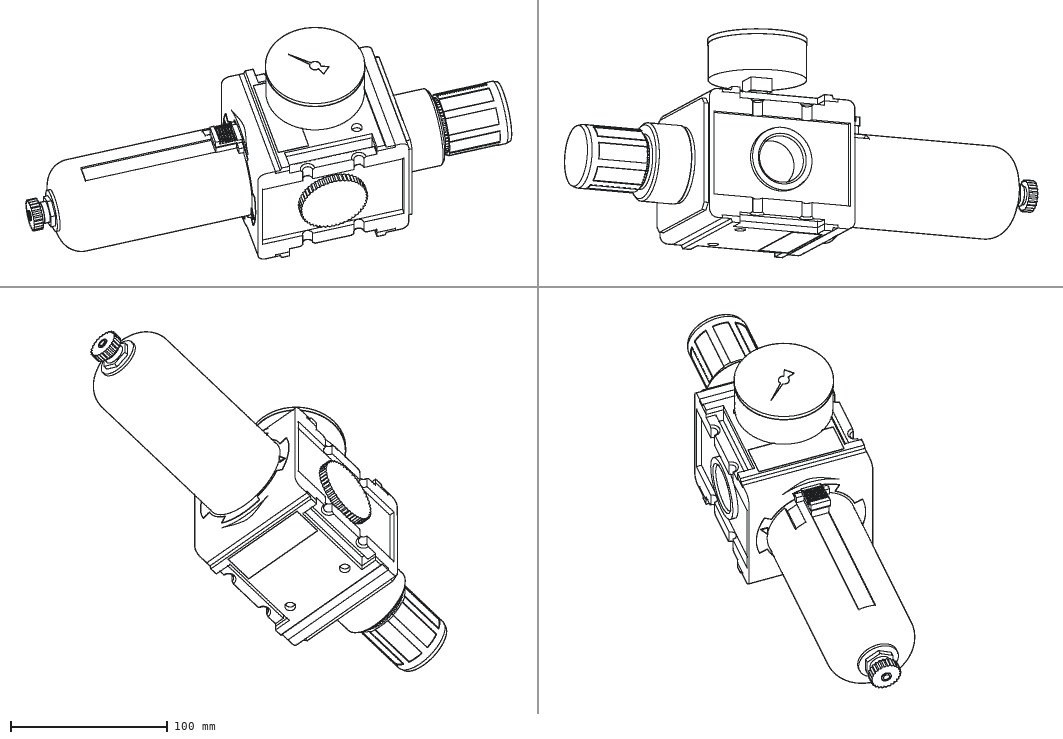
import cadquery as cq
import math


BODY_HALF_X = 42.3
BODY_HALF_Y = 50.0
BODY_HALF_Z = 42.3
BODY_FILLET = 5.5
BOWL_SEAT_RADIUS = 41.5

COVER_BACK_Y = 41.3
COVER_FRONT_Y = -38.5
COVER_FLOOR_Z = 40.5
COVER_TOP_Z = 44.5
RAISED_HALF_Y = 35.3
RAISED_DRAFT = 1.0
LABEL_HALF_X = 29.0
LABEL_BACK_Y = -12.5
LABEL_FRONT_Y = -32.8
LABEL_DEPTH = 0.3
COVER_HOLE_DIAMETER = 6.5
COVER_HOLE_X = 23.0
COVER_HOLE_Y = 21.0

POCKET_HALF_Y = 29.0
LEDGE_Z = 37.5
LEDGE_INNER_X = 35.5
TRENCH_INNER_X = 30.5
TRENCH_FLOOR_Z = 30.5

SIDE_HALF_Y = 47.0
SIDE_HALF_Z = 27.0
SIDE_DEPTH = 3.5
SLOT_DIAMETER = 6.5
SLOT_MOUTH_DIAMETER = 9.5
SLOT_MOUTH_DEPTH = (SLOT_MOUTH_DIAMETER - SLOT_DIAMETER) / 2
SLOT_Y = 17.0
PORT_BOSS_DIAMETER = 41.0
PORT_CHAMFER_DIAMETER = 33.0
PORT_DIAMETER = 30.3
PORT_CHAMFER = (PORT_CHAMFER_DIAMETER - PORT_DIAMETER) / 2
PORT_DEPTH = 17.5
PLUG_RADIUS = 22.5
PLUG_FACE_X = 44.2
PLUG_TEETH = 48

PLATE_HALF_X = 40.0
PLATE_HALF_Z = 36.5
PLATE_CHAMFER = 4.0
PLATE_BACK_Y = 53.0
BONNET_RADIUS = 25.2
BONNET_BASE_RADIUS = 24.5
BONNET_BASE_Y = 55.5
BONNET_BACK_Y = 79.5
BONNET_CHAMFER = 1.5
NECK_DIAMETER = 35.5
SERRATION_DIAMETER = 36.3
SERRATION_FRONT_Y = 81.7
SERRATION_TEETH = 48
KNOB_FRONT_Y = 84.0
KNOB_BACK_Y = 125.2
KNOB_RADIUS = 20.5
KNOB_EDGE_LENGTH = 2.8
KNOB_EDGE_DROP = 1.0
GRIP_COUNT = 8
GRIP_ANGLE = 31
GRIP_DEPTH = 0.5
GRIP_BACK_Y = 117.5

GAUGE_TOP_Z = 86.7
GAUGE_BOTTOM_Z = 60.3
GAUGE_RADIUS = 32.0
GAUGE_RIM_HEIGHT = 3.0
GAUGE_RIM_STEP = 0.3
GAUGE_SQUARE = 14.5
GAUGE_SQUARE_Z = 51.7
GAUGE_STEM_DIAMETER = 13.2
NEEDLE_DEPTH = 0.3
NEEDLE_ANGLE = 225
NEEDLE_LENGTH = 19.5
NEEDLE_HALF_WIDTH = 1.0
NEEDLE_TAIL = 8.2
NEEDLE_TAIL_HALF_WIDTH = 3.5
NEEDLE_HUB_RADIUS = 3.5

BOWL_RADIUS = 30.0
DOME_RADIUS = 14.8
DOME_END_Y = -173.5
LUG_COUNT = 4
LUG_ANGLE = 51
LUG_FIRST_ANGLE = -6
LUG_RADIUS = 37.2
COLLAR_RADIUS = 31.5
FLANGE_THICKNESS = 0.3
STOP_THICKNESS = 1.0
STOP_OUTER_X = -34.5
STOP_INNER_X = -29.5
STOP_TOP_Z = 10.0
STOP_BOTTOM_Z = 3.8
WINDOW_HALF_WIDTH = 5.7
WINDOW_FRONT_Y = -154.3
WINDOW_FLOOR_Z = 28.0
KEYWAY_ANGLE = 29
KEYWAY_HALF_WIDTH = 4.0
KEYWAY_FRONT_Y = -70.0
KEYWAY_FLOOR_RADIUS = 26.0

LATCH_FRONT_Y = -68.0
LATCH_BOTTOM_Z = 28.0
LATCH_STEP_Z = 34.7
LATCH_TOP_Z = 37.5
LATCH_HALF_WIDTH = 6.5
LATCH_STEP = 0.5
LATCH_WALL_TOP_Z = 40.5
LATCH_WALL_THICKNESS = 2.8
LATCH_WING_HALF_WIDTH = 11.5
LATCH_WING_BOTTOM_Z = 30.0
LATCH_WING_LENGTH = 3.8
RIDGE_COUNT = 6
RIDGE_PITCH = 2.0
RIDGE_WIDTH = 1.0
RIDGE_TOP_Z = 39.7
RIDGE_FIRST_Y = -54.0

DRAIN_COLLAR_DIAMETER = 27.0
DRAIN_COLLAR_END_Y = -175.5
DRAIN_HEX_DIAMETER = 20.2
DRAIN_HEX_END_Y = -178.2
DRAIN_STEM_DIAMETER = 14.0
DRAIN_STEM_END_Y = -181.7
DRAIN_NECK_DIAMETER = 12.0
DRAIN_NECK_END_Y = -183.5
DRAIN_KNOB_DIAMETER = 20.5
DRAIN_KNOB_END_Y = -189.5
DRAIN_KNOB_TEETH = 24
NIPPLE_DIAMETER = 6.5
NIPPLE_BORE = 4.0
NIPPLE_BORE_DEPTH = 6.3
NIPPLE_END_Y = -190.2
TOOTH_DEPTH = 1.0


def block(x0, x1, y0, y1, z0, z1):
    """Box between two corner positions, given in any order."""
    size = (abs(x1 - x0), abs(y1 - y0), abs(z1 - z0))
    middle = ((x0 + x1) / 2, (y0 + y1) / 2, (z0 + z1) / 2)
    return cq.Workplane("XY").box(*size).translate(middle)


def plane_at_y(y):
    """Workplane facing +Y, with its local x along +Z and local y along +X."""
    return cq.Workplane(cq.Plane(origin=(0, y, 0), xDir=(0, 0, 1), normal=(0, 1, 0)))


def disc(radius, y0, y1):
    """Cylinder on the Y axis from y0 to y1."""
    return cq.Workplane("XZ", origin=(0, y1, 0)).circle(radius).extrude(y1 - y0)


def toothed_points(radius, depth, teeth):
    """Closed zigzag of pointed teeth between radius and radius - depth."""
    points = []
    for i in range(2 * teeth):
        r = radius - depth * (i % 2)
        angle = math.pi * i / teeth
        points.append((r * math.cos(angle), r * math.sin(angle)))
    return points


def sector_points(radius, middle_angle, span):
    """Start, middle and end point of an arc about the origin, with angles in degrees."""
    angles = [math.radians(middle_angle + span * part) for part in (-0.5, 0, 0.5)]
    return [(radius * math.cos(a), radius * math.sin(a)) for a in angles]


def sector(radius, middle_angle, span, y0, y1):
    """Pie-shaped prism along Y; the angle is counted from +X towards +Z."""
    start, middle, end = sector_points(radius, middle_angle, span)
    plane = cq.Workplane("XZ", origin=(0, y0, 0))
    return plane.lineTo(*start).threePointArc(middle, end).close().extrude(y0 - y1)


def mirrored_pair(shape, plane):
    return shape.union(shape.mirror(plane))


def edge_pockets():
    """Stepped pockets along all four long side edges."""
    ledge = block(LEDGE_INNER_X, BODY_HALF_X, -POCKET_HALF_Y, POCKET_HALF_Y, LEDGE_Z, COVER_TOP_Z)
    trench = block(
        TRENCH_INNER_X, LEDGE_INNER_X, -POCKET_HALF_Y, POCKET_HALF_Y, TRENCH_FLOOR_Z, COVER_TOP_Z
    )
    return mirrored_pair(mirrored_pair(ledge.union(trench), "YZ"), "XY")


def cover_profile():
    """Cover outline in the YZ plane."""
    return [
        (COVER_BACK_Y, COVER_FLOOR_Z),
        (COVER_BACK_Y, BODY_HALF_Z),
        (RAISED_HALF_Y, BODY_HALF_Z),
        (RAISED_HALF_Y - RAISED_DRAFT, COVER_TOP_Z),
        (-RAISED_HALF_Y + RAISED_DRAFT, COVER_TOP_Z),
        (-RAISED_HALF_Y, BODY_HALF_Z),
        (COVER_FRONT_Y, BODY_HALF_Z),
        (COVER_FRONT_Y, COVER_FLOOR_Z),
    ]


def cover_blank():
    profile = cq.Workplane("YZ").polyline(cover_profile()).close()
    return profile.extrude(BODY_HALF_X, both=True)


def cover():
    """Top cover with its label recess and two holes."""
    label = block(
        -LABEL_HALF_X, LABEL_HALF_X, LABEL_FRONT_Y, LABEL_BACK_Y, COVER_TOP_Z - LABEL_DEPTH, COVER_TOP_Z
    )
    holes = (
        cq.Workplane("XY", origin=(0, 0, COVER_FLOOR_Z))
        .pushPoints([(-COVER_HOLE_X, COVER_HOLE_Y), (COVER_HOLE_X, COVER_HOLE_Y)])
        .circle(COVER_HOLE_DIAMETER / 2)
        .extrude(COVER_TOP_Z - COVER_FLOOR_Z)
    )
    return cover_blank().cut(edge_pockets()).cut(label).cut(holes)


def housing_block():
    body = block(-BODY_HALF_X, BODY_HALF_X, -BODY_HALF_Y, BODY_HALF_Y, -BODY_HALF_Z, BODY_HALF_Z)
    body = body.edges("|X").fillet(BODY_FILLET)
    seat = disc(BOWL_SEAT_RADIUS, -BODY_HALF_Y, BODY_FILLET - BODY_HALF_Y)
    return body.union(seat)


def side_recesses():
    recess = block(
        BODY_HALF_X - SIDE_DEPTH, BODY_HALF_X, -SIDE_HALF_Y, SIDE_HALF_Y, -SIDE_HALF_Z, SIDE_HALF_Z
    )
    return mirrored_pair(recess, "YZ")


def clamp_slots():
    """Half-round slots in the side faces, each with a tapered mouth on the pocket ledge."""
    profile = [
        (0, SIDE_HALF_Z),
        (SLOT_DIAMETER / 2, SIDE_HALF_Z),
        (SLOT_DIAMETER / 2, LEDGE_Z - SLOT_MOUTH_DEPTH),
        (SLOT_MOUTH_DIAMETER / 2, LEDGE_Z),
        (0, LEDGE_Z),
    ]
    slot = cq.Workplane("XZ").polyline(profile).close().revolve(360, (0, 0, 0), (0, 1, 0))
    slots = cq.Workplane("XY")
    for x in (-BODY_HALF_X, BODY_HALF_X):
        for y in (-SLOT_Y, SLOT_Y):
            slots = slots.add(slot.translate((x, y, 0)))
    return mirrored_pair(slots.combine(), "XY")


def port_boss():
    """Round boss in the -X side recess, flush with the side of the housing."""
    plane = cq.Workplane("YZ", origin=(-BODY_HALF_X, 0, 0))
    return plane.circle(PORT_BOSS_DIAMETER / 2).extrude(SIDE_DEPTH)


def port():
    """Blind port with a chamfered mouth, in the face of the port boss."""
    profile = [
        (-BODY_HALF_X, 0),
        (-BODY_HALF_X, PORT_CHAMFER_DIAMETER / 2),
        (PORT_CHAMFER - BODY_HALF_X, PORT_DIAMETER / 2),
        (PORT_DEPTH - BODY_HALF_X, PORT_DIAMETER / 2),
        (PORT_DEPTH - BODY_HALF_X, 0),
    ]
    return cq.Workplane("XY").polyline(profile).close().revolve(360, (0, 0, 0), (1, 0, 0))


def port_plug():
    """Toothed disc that closes the +X side."""
    start_x = BODY_HALF_X - SIDE_DEPTH
    plane = cq.Workplane("YZ", origin=(start_x, 0, 0))
    outline = plane.polyline(toothed_points(PLUG_RADIUS, TOOTH_DEPTH, PLUG_TEETH)).close()
    return outline.extrude(PLUG_FACE_X - start_x)


def bonnet():
    plate = block(-PLATE_HALF_X, PLATE_HALF_X, BODY_HALF_Y, PLATE_BACK_Y, -PLATE_HALF_Z, PLATE_HALF_Z)
    plate = plate.edges("|Y").chamfer(PLATE_CHAMFER)
    base = disc(BONNET_BASE_RADIUS, PLATE_BACK_Y, BONNET_BASE_Y)
    barrel = disc(BONNET_RADIUS, BONNET_BASE_Y, BONNET_BACK_Y).faces(">Y").chamfer(BONNET_CHAMFER)
    neck = disc(NECK_DIAMETER / 2, BONNET_BACK_Y, SERRATION_FRONT_Y)
    serration = (
        plane_at_y(SERRATION_FRONT_Y)
        .polyline(toothed_points(SERRATION_DIAMETER / 2, TOOTH_DEPTH, SERRATION_TEETH))
        .close()
        .extrude(KNOB_FRONT_Y - SERRATION_FRONT_Y)
    )
    return plate.union(base).union(barrel).union(neck).union(serration)


def knob():
    """Adjusting knob with shallow grip panels that open at its front end."""
    body = disc(KNOB_RADIUS, KNOB_FRONT_Y, KNOB_BACK_Y)
    body = body.faces(">Y").edges().chamfer(KNOB_EDGE_LENGTH, KNOB_EDGE_DROP)
    core = disc(KNOB_RADIUS - GRIP_DEPTH, KNOB_FRONT_Y, GRIP_BACK_Y)
    for i in range(GRIP_COUNT):
        angle = 360 / GRIP_COUNT * i
        panel = sector(KNOB_RADIUS + GRIP_DEPTH, angle, GRIP_ANGLE, KNOB_FRONT_Y, GRIP_BACK_Y)
        body = body.cut(panel.cut(core))
    return body


def housing():
    cover_seat = mirrored_pair(cover_blank(), "XY")
    body = housing_block().cut(cover_seat).cut(edge_pockets())
    body = body.cut(side_recesses()).cut(clamp_slots()).union(port_boss()).cut(port())
    return body.union(port_plug()).union(bonnet()).union(knob())


def needle():
    """Gauge needle: tapered pointer, round hub and flared tail."""
    plane = cq.Workplane("XY", origin=(0, 0, GAUGE_TOP_Z - NEEDLE_DEPTH))
    pointer = [(0, -NEEDLE_HALF_WIDTH), (NEEDLE_LENGTH, 0), (0, NEEDLE_HALF_WIDTH)]
    tail = [(0, 0), (-NEEDLE_TAIL, NEEDLE_TAIL_HALF_WIDTH), (-NEEDLE_TAIL, -NEEDLE_TAIL_HALF_WIDTH)]
    shape = plane.circle(NEEDLE_HUB_RADIUS).extrude(NEEDLE_DEPTH)
    for outline in (pointer, tail):
        shape = shape.union(plane.polyline(outline).close().extrude(NEEDLE_DEPTH))
    return shape.rotate((0, 0, 0), (0, 0, 1), NEEDLE_ANGLE)


def gauge():
    """Pressure gauge that stands on the top cover."""
    rim_z = GAUGE_TOP_Z - GAUGE_RIM_HEIGHT
    stem = cq.Workplane("XY", origin=(0, 0, COVER_TOP_Z)).circle(GAUGE_STEM_DIAMETER / 2)
    stem = stem.extrude(GAUGE_SQUARE_Z - COVER_TOP_Z)
    half = GAUGE_SQUARE / 2
    square = block(-half, half, -half, half, GAUGE_SQUARE_Z, GAUGE_BOTTOM_Z)
    case = cq.Workplane("XY", origin=(0, 0, GAUGE_BOTTOM_Z)).circle(GAUGE_RADIUS - GAUGE_RIM_STEP)
    case = case.extrude(rim_z - GAUGE_BOTTOM_Z)
    rim = cq.Workplane("XY", origin=(0, 0, rim_z)).circle(GAUGE_RADIUS).extrude(GAUGE_RIM_HEIGHT)
    return stem.union(square).union(case).union(rim).cut(needle())


def bowl_shell():
    """Plain cylinder with a domed end."""
    return disc(BOWL_RADIUS, DOME_END_Y, -BODY_HALF_Y).faces("<Y").edges().fillet(DOME_RADIUS)


def bayonet_flange():
    front_y = -BODY_HALF_Y - FLANGE_THICKNESS
    flange = disc(COLLAR_RADIUS, front_y, -BODY_HALF_Y)
    for i in range(LUG_COUNT):
        angle = LUG_FIRST_ANGLE + 360 / LUG_COUNT * i
        flange = flange.union(sector(LUG_RADIUS, angle, LUG_ANGLE, front_y, -BODY_HALF_Y))
    return flange


def bayonet_stops():
    """Two small wedges on opposite sides of the bowl, at the housing face."""
    outline = [(STOP_OUTER_X, STOP_TOP_Z), (STOP_INNER_X, STOP_TOP_Z), (STOP_INNER_X, STOP_BOTTOM_Z)]
    plane = cq.Workplane("XZ", origin=(0, -BODY_HALF_Y, 0))
    stop = plane.polyline(outline).close().extrude(STOP_THICKNESS)
    return stop.union(stop.rotate((0, 0, 0), (0, 1, 0), 180))


def bowl_grooves():
    """Long window groove along the top and a short keyway beside it."""
    flange_y = -BODY_HALF_Y - FLANGE_THICKNESS
    window = block(
        -WINDOW_HALF_WIDTH, WINDOW_HALF_WIDTH, WINDOW_FRONT_Y, flange_y, WINDOW_FLOOR_Z, BOWL_RADIUS
    )
    keyway = block(
        -KEYWAY_HALF_WIDTH, KEYWAY_HALF_WIDTH, KEYWAY_FRONT_Y, flange_y, KEYWAY_FLOOR_RADIUS, BOWL_RADIUS
    )
    keyway = keyway.rotate((0, 0, 0), (0, 1, 0), -KEYWAY_ANGLE)
    return window.union(keyway)


def latch():
    """Ridged slide on top of the bowl, with two side wings next to the housing."""
    back_y = -BODY_HALF_Y
    upper = LATCH_HALF_WIDTH
    lower = upper - LATCH_STEP
    wing = LATCH_WING_HALF_WIDTH
    wall_y = LATCH_FRONT_Y + LATCH_WALL_THICKNESS
    body = block(-lower, lower, LATCH_FRONT_Y + LATCH_STEP, back_y, LATCH_BOTTOM_Z, LATCH_STEP_Z)
    body = body.union(block(-upper, upper, LATCH_FRONT_Y, back_y, LATCH_STEP_Z, LATCH_TOP_Z))
    body = body.union(block(-upper, upper, LATCH_FRONT_Y, wall_y, LATCH_TOP_Z, LATCH_WALL_TOP_Z))
    wing_y = back_y - LATCH_WING_LENGTH
    body = body.union(block(-wing, wing, wing_y, back_y, LATCH_WING_BOTTOM_Z, LATCH_STEP_Z))
    for i in range(RIDGE_COUNT):
        y = RIDGE_FIRST_Y - RIDGE_PITCH * i
        body = body.union(block(-upper, upper, y - RIDGE_WIDTH, y, LATCH_TOP_Z, RIDGE_TOP_Z))
    return body


def drain_valve():
    collar = disc(DRAIN_COLLAR_DIAMETER / 2, DRAIN_COLLAR_END_Y, DOME_END_Y)
    hexagon = plane_at_y(DRAIN_HEX_END_Y).polygon(6, DRAIN_HEX_DIAMETER)
    hexagon = hexagon.extrude(DRAIN_COLLAR_END_Y - DRAIN_HEX_END_Y)
    stem = disc(DRAIN_STEM_DIAMETER / 2, DRAIN_STEM_END_Y, DRAIN_HEX_END_Y)
    neck = disc(DRAIN_NECK_DIAMETER / 2, DRAIN_NECK_END_Y, DRAIN_STEM_END_Y)
    grip = (
        plane_at_y(DRAIN_KNOB_END_Y)
        .polyline(toothed_points(DRAIN_KNOB_DIAMETER / 2, TOOTH_DEPTH, DRAIN_KNOB_TEETH))
        .close()
        .extrude(DRAIN_NECK_END_Y - DRAIN_KNOB_END_Y)
    )
    nipple = disc(NIPPLE_DIAMETER / 2, NIPPLE_END_Y, DRAIN_KNOB_END_Y)
    bore = disc(NIPPLE_BORE / 2, NIPPLE_END_Y, NIPPLE_END_Y + NIPPLE_BORE_DEPTH)
    return collar.union(hexagon).union(stem).union(neck).union(grip).union(nipple).cut(bore)


def bowl():
    """Filter bowl with its bayonet flange, stops, latch and drain valve."""
    shell = bowl_shell().union(bayonet_flange()).union(bayonet_stops()).cut(bowl_grooves())
    return shell.union(latch()).union(drain_valve())


covers = [cover().val(), cover().mirror("XY").val()]

result = cq.Compound.makeCompound([housing().val(), *covers, gauge().val(), bowl().val()])